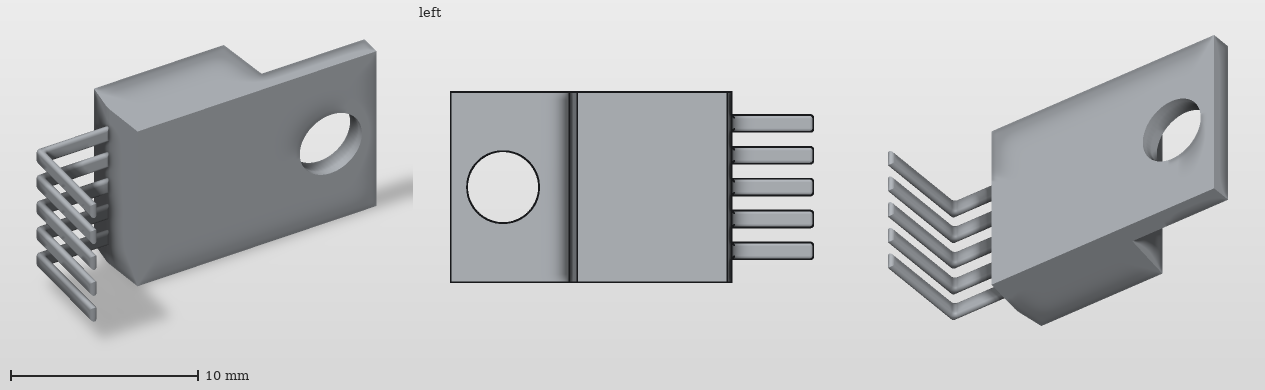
import cadquery as cq


package_width = 10.16
package_length = 19.36
package_depth = 7.71

tab_length = 6.33
tab_thickness = 1.27
hole_diameter = 3.83
hole_to_tab_end = 2.80

housing_thickness = 4.57
housing_length = 8.66
top_taper_drop = 0.43
front_taper_drop = 0.23
back_taper_drop = 0.28
lead_land_width = 0.34

lead_count = 5
lead_pitch = 1.70
lead_width = 0.91
lead_thickness = 0.381
lead_round = 0.19
lead_front_x = 1.72

tab_front_x = housing_thickness - tab_thickness
lead_root_y = -housing_length
lead_bottom_y = tab_length - package_length


def extrude_centred(outline, width):
    """Extrude an XY outline by the given width, centred on Z = 0."""
    return cq.Workplane("XY").polyline(outline).close().extrude(width / 2, both=True)


def make_tab():
    """Flat metal tab with its mounting hole."""
    plate = cq.Workplane("XY").box(
        tab_thickness, tab_length, package_width, centered=(False, False, True)
    ).translate((tab_front_x, 0, 0))
    hole = (
        cq.Workplane("YZ", origin=(tab_front_x, tab_length - hole_to_tab_end, 0))
        .circle(hole_diameter / 2)
        .extrude(tab_thickness)
    )
    return plate.cut(hole)


def make_housing():
    """Moulded block with a sloped top and a lead end tapered to a narrow flat land."""
    outline = [
        (0, -top_taper_drop),
        (tab_front_x, 0),
        (housing_thickness, 0),
        (housing_thickness, lead_root_y + back_taper_drop),
        (lead_front_x + lead_land_width, lead_root_y),
        (lead_front_x, lead_root_y),
        (0, lead_root_y + front_taper_drop),
    ]
    return extrude_centred(outline, package_width)


def make_lead(z):
    """Right-angle lead at height z, standing on the land, with rounded edges.

    Only the short edges across the thickness at the root and the tip stay sharp.
    """
    lead_back_x = lead_front_x + lead_thickness
    foot_top_y = lead_bottom_y + lead_thickness
    outline = [
        (lead_front_x, lead_root_y),
        (lead_front_x, lead_bottom_y),
        (package_depth, lead_bottom_y),
        (package_depth, foot_top_y),
        (lead_back_x, foot_top_y),
        (lead_back_x, lead_root_y),
    ]
    bar = extrude_centred(outline, lead_width)
    lead = bar.edges("|Z or (|X exc >Y) or (|Y exc >X)").fillet(lead_round)
    return lead.translate((0, 0, z))


tab = make_tab()
housing = make_housing()
leads = [make_lead((i - (lead_count - 1) / 2) * lead_pitch) for i in range(lead_count)]

result = cq.Compound.makeCompound(
    [tab.val(), housing.val(), *[lead.val() for lead in leads]]
)